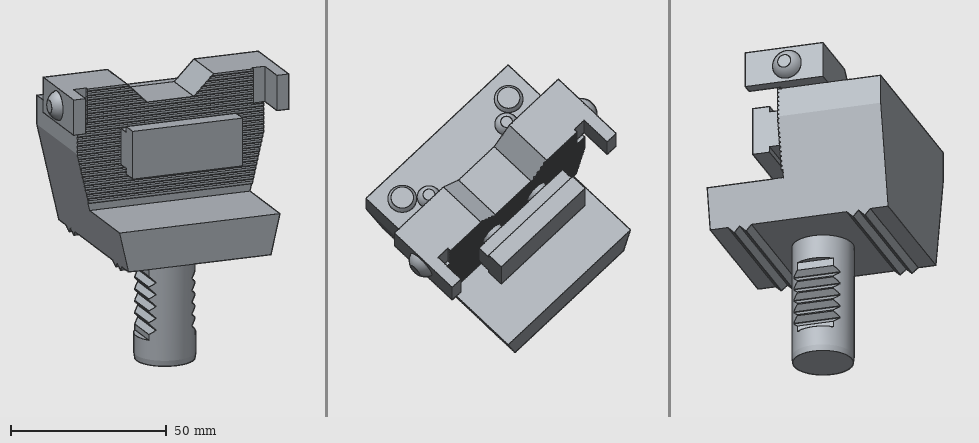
import cadquery as cq
import math


OVERALL_WIDTH = 79.9
TOOTH_PITCH = 4.0

SHANK_DIAMETER = 20.0
SHANK_LENGTH = 40.4
SHANK_END_HEIGHT = 1.9
SHANK_END_INSET = 0.3
FLAT_TOP_Z = -7.9
FLAT_BOTTOM_Z = -31.9
FLAT_DISTANCE = 8.0
FLAT_GROOVE_COUNT = 5
FLAT_GROOVE_TOP_Z = -12.3
FLAT_GROOVE_DEPTH = 1.7
FLAT_GROOVE_ROOT = 0.2

BLOCK_LENGTH = 60.0
BLOCK_HEIGHT = 42.75
BLOCK_TOP_WIDTH = 64.4
BLOCK_BOTTOM_WIDTH = 49.2
TAPER_TOP_Z = 33.0
LEDGE_Z = 13.5
WALL_X = 4.8
RELIEF_X = 4.3
RELIEF_TOP_Z = 16.1

RIDGE_HEIGHT = 1.8
RIDGE_CREST = 0.2
RIDGE_PAIR_SPACING = 40.1

BAR_BACK_X = -12.2
BAR_WIDTH = 74.3
BAR_HEIGHT = 11.9
SADDLE_BOTTOM_WIDTH = 16.15
SADDLE_DEPTH = 6.8
ARM_END_X = 14.1
ARM_THICKNESS = 4.1
POCKET_X = 3.6
POCKET_WIDTH = 4.4

SERRATION_COUNT = 25
SERRATION_TOP_Z = 53.6
SERRATION_BOTTOM_Z = 17.4
SERRATION_DEPTH = 0.4

CLAMP_BACK_X = 7.0
CLAMP_STEP_X = 11.5
CLAMP_FRONT_X = 17.2
CLAMP_LENGTH = 38.0
CLAMP_OFFSET_Y = 0.95
CLAMP_HEIGHT = 16.1
CLAMP_STEP = 1.9
CLAMP_PIN_DIAMETER = 8.0
CLAMP_PIN_SPACING = 20.0
PIN_EMBED = 1.9

SIDE_HEAD = (9.7, 4.4, (OVERALL_WIDTH - BAR_WIDTH) / 2)
SIDE_HEAD_Z = 48.6
SMALL_HEAD = (7.6, 3.8, 2.2)
SMALL_HEAD_X = -16.1
SMALL_HEAD_SPACING = 35.15
LARGE_HEAD = (9.2, 7.2, 1.2)
LARGE_HEAD_X = -21.7
LARGE_HEAD_SPACING = 48.2

BAR_TOP_Z = BLOCK_HEIGHT + BAR_HEIGHT


def box(x_range, y_range, z_range):
    """Box spanning the given (low, high) ranges."""
    size = [high - low for low, high in (x_range, y_range, z_range)]
    corner = (x_range[0], y_range[0], z_range[0])
    return cq.Workplane("XY").box(*size, centered=False).translate(corner)


def extrude_across(points, width):
    """Extrude an (x, z) outline symmetrically along Y."""
    return cq.Workplane("XZ").polyline(points).close().extrude(width / 2, both=True)


def extrude_along(points, length):
    """Extrude a (y, z) outline symmetrically along X."""
    return cq.Workplane("YZ").polyline(points).close().extrude(length / 2, both=True)


def domed_head(base_diameter, top_diameter, height):
    """Spherical cap with a flat top, standing on the XY plane."""
    base = base_diameter / 2
    top = top_diameter / 2
    center_depth = (base**2 - top**2 - height**2) / (2 * height)
    sphere_radius = math.hypot(base, center_depth)
    middle_radius = math.sqrt(sphere_radius**2 - (center_depth + height / 2) ** 2)
    profile = (
        cq.Workplane("XZ")
        .lineTo(base, 0)
        .threePointArc((middle_radius, height / 2), (top, height))
        .lineTo(0, height)
        .close()
    )
    return profile.revolve(360, (0, 0, 0), (0, 1, 0))


def make_shank():
    radius = SHANK_DIAMETER / 2
    shank = (
        cq.Workplane("XY")
        .circle(radius)
        .extrude(-SHANK_LENGTH)
        .faces("<Z")
        .chamfer(SHANK_END_HEIGHT, SHANK_END_INSET)
    )
    root_y = FLAT_DISTANCE - FLAT_GROOVE_DEPTH
    root_half = FLAT_GROOVE_ROOT / 2
    mouth_half = root_half + FLAT_GROOVE_DEPTH
    for side in (-1, 1):
        flat = box((-radius, radius), (FLAT_DISTANCE, radius), (FLAT_BOTTOM_Z, FLAT_TOP_Z))
        for index in range(FLAT_GROOVE_COUNT):
            z = FLAT_GROOVE_TOP_Z - index * TOOTH_PITCH
            groove = [
                (FLAT_DISTANCE, z - mouth_half),
                (root_y, z - root_half),
                (root_y, z + root_half),
                (FLAT_DISTANCE, z + mouth_half),
            ]
            flat = flat.union(extrude_along(groove, SHANK_DIAMETER))
        if side < 0:
            flat = flat.mirror("XZ")
        shank = shank.cut(flat)
    return shank


def make_block():
    """L-shaped block with underside ridges, trimmed to the tapered width."""
    half_length = BLOCK_LENGTH / 2
    outline = [
        (-half_length, 0),
        (half_length, 0),
        (half_length, LEDGE_Z),
        (RELIEF_X, LEDGE_Z),
        (RELIEF_X, RELIEF_TOP_Z),
        (WALL_X, RELIEF_TOP_Z),
        (WALL_X, BLOCK_HEIGHT),
        (-half_length, BLOCK_HEIGHT),
    ]
    body = extrude_across(outline, BLOCK_TOP_WIDTH)

    base_half = TOOTH_PITCH / 2
    crest_half = RIDGE_CREST / 2
    for pair_x in (-RIDGE_PAIR_SPACING / 2, RIDGE_PAIR_SPACING / 2):
        for x in (pair_x - base_half, pair_x + base_half):
            ridge = [
                (x - base_half, 0),
                (x - crest_half, -RIDGE_HEIGHT),
                (x + crest_half, -RIDGE_HEIGHT),
                (x + base_half, 0),
            ]
            body = body.union(extrude_across(ridge, BLOCK_TOP_WIDTH))

    top_half = BLOCK_TOP_WIDTH / 2
    bottom_half = BLOCK_BOTTOM_WIDTH / 2
    taper = (top_half - bottom_half) / TAPER_TOP_Z
    ridge_half = bottom_half - taper * RIDGE_HEIGHT
    envelope = [
        (-ridge_half, -RIDGE_HEIGHT),
        (ridge_half, -RIDGE_HEIGHT),
        (top_half, TAPER_TOP_Z),
        (top_half, BLOCK_HEIGHT),
        (-top_half, BLOCK_HEIGHT),
        (-top_half, TAPER_TOP_Z),
    ]
    return body.intersect(extrude_along(envelope, BLOCK_LENGTH))


def make_bar():
    """Cross bar with end arms, corner pockets and a saddle with 45 degree flanks."""
    half_width = BAR_WIDTH / 2
    arm_y = half_width - ARM_THICKNESS
    pocket_y = arm_y - POCKET_WIDTH
    heights = (BLOCK_HEIGHT, BAR_TOP_Z)
    bar = box((BAR_BACK_X, ARM_END_X), (-half_width, half_width), heights)
    bar = bar.cut(box((WALL_X, ARM_END_X), (-arm_y, arm_y), heights))
    for y_range in ((-arm_y, -pocket_y), (pocket_y, arm_y)):
        bar = bar.cut(box((POCKET_X, WALL_X), y_range, heights))

    bottom_half = SADDLE_BOTTOM_WIDTH / 2
    top_half = bottom_half + SADDLE_DEPTH
    saddle = [
        (-top_half, BAR_TOP_Z),
        (-bottom_half, BAR_TOP_Z - SADDLE_DEPTH),
        (bottom_half, BAR_TOP_Z - SADDLE_DEPTH),
        (top_half, BAR_TOP_Z),
    ]
    return bar.cut(extrude_along(saddle, BLOCK_LENGTH))


def cut_serrations(body):
    pitch = (SERRATION_TOP_Z - SERRATION_BOTTOM_Z) / (SERRATION_COUNT - 1)
    width = BAR_WIDTH - 2 * ARM_THICKNESS
    for index in range(SERRATION_COUNT):
        z = SERRATION_BOTTOM_Z + index * pitch
        groove = [
            (WALL_X, z - SERRATION_DEPTH),
            (WALL_X - SERRATION_DEPTH, z),
            (WALL_X, z + SERRATION_DEPTH),
        ]
        body = body.cut(extrude_across(groove, width))
    return body


def make_clamp():
    """T-section strip, flush with the block top, held by two pins."""
    bottom_z = BLOCK_HEIGHT - CLAMP_HEIGHT
    outline = [
        (CLAMP_FRONT_X, bottom_z),
        (CLAMP_FRONT_X, BLOCK_HEIGHT),
        (CLAMP_STEP_X, BLOCK_HEIGHT),
        (CLAMP_STEP_X, BLOCK_HEIGHT - CLAMP_STEP),
        (CLAMP_BACK_X, BLOCK_HEIGHT - CLAMP_STEP),
        (CLAMP_BACK_X, bottom_z + CLAMP_STEP),
        (CLAMP_STEP_X, bottom_z + CLAMP_STEP),
        (CLAMP_STEP_X, bottom_z),
    ]
    strip = extrude_across(outline, CLAMP_LENGTH).translate((0, CLAMP_OFFSET_Y, 0))
    pin_start = WALL_X - PIN_EMBED
    pins = (
        cq.Workplane("YZ", origin=(pin_start, 0, bottom_z + CLAMP_HEIGHT / 2))
        .pushPoints([(-CLAMP_PIN_SPACING / 2, 0), (CLAMP_PIN_SPACING / 2, 0)])
        .circle(CLAMP_PIN_DIAMETER / 2)
        .extrude(CLAMP_BACK_X - pin_start)
    )
    return strip.union(pins)


def add_screw_heads(body):
    """Paired heads on the block top and on both ends of the cross bar."""
    side_head = domed_head(*SIDE_HEAD)
    for side in (-1, 1):
        for head, x, spacing in (
            (SMALL_HEAD, SMALL_HEAD_X, SMALL_HEAD_SPACING),
            (LARGE_HEAD, LARGE_HEAD_X, LARGE_HEAD_SPACING),
        ):
            y = side * spacing / 2
            body = body.union(domed_head(*head).translate((x, y, BLOCK_HEIGHT)))
        end_head = side_head.rotate((0, 0, 0), (1, 0, 0), -90 * side)
        body = body.union(end_head.translate((0, side * BAR_WIDTH / 2, SIDE_HEAD_Z)))
    return body


holder = cut_serrations(make_block().union(make_bar()))
holder = holder.union(make_shank()).union(make_clamp())
result = add_screw_heads(holder)